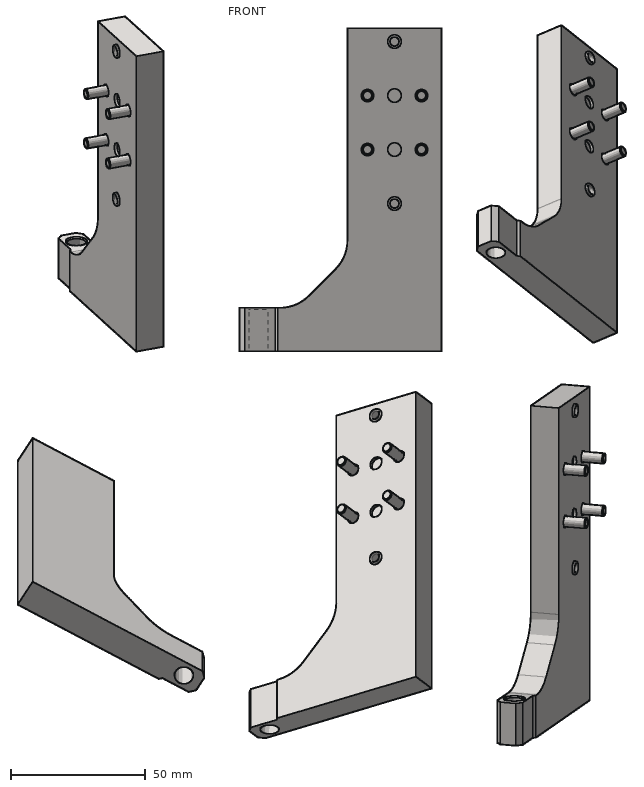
import cadquery as cq

WIDTH = 75.0
HEIGHT = 119.9
THICKNESS = 11.0
COLUMN_WIDTH = 35.0
FOOT_HEIGHT = 16.2
GUSSET_LEG = 18.7
GUSSET_RADIUS = 15.0

MARGIN = 1.2

FOOT_RELIEF = 1.0
RELIEF_LENGTH = 13.3
FOOT_CHAMFER = 2.0
FOOT_HOLE_DIAMETER = 7.0
FOOT_HOLE_MOUTH = 8.0
COUNTERSINK_ANGLE = 90
FOOT_HOLE_X = 7.1

PITCH = 20.0
PATTERN_X = WIDTH - COLUMN_WIDTH / 2
PATTERN_TOP_Z = 114.9
LOCATING_DIAMETER = 5.0
LOCATING_DEPTH = 1.2

PIN_DIAMETER = 4.0
PIN_PROJECTION = 8.4
PIN_DEPTH = 6.0
PIN_CHAMFER = 0.4
PIN_RECESS_DIAMETER = 4.5
PIN_RECESS_DEPTH = 1.0

BUSHING_DIAMETER = LOCATING_DIAMETER
BUSHING_BORE = 3.4
BUSHING_PROJECTION = 0.8
BUSHING_DEPTH = 6.0

ROW_COUNT = 4
ROW_Z = [PATTERN_TOP_Z - row * PITCH for row in range(ROW_COUNT)]
BUSHING_PLACES = [(PATTERN_X, ROW_Z[0]), (PATTERN_X, ROW_Z[3])]
LOCATING_PLACES = [(PATTERN_X, ROW_Z[1]), (PATTERN_X, ROW_Z[2])]
PIN_PLACES = [
    (PATTERN_X + side * PITCH / 2, z)
    for z in ROW_Z[1:3]
    for side in (-1, 1)
]


def rod(place, diameter, start_y, end_y):
    """Cylinder along Y between two Y positions, centred on an (X, Z) place."""
    x, z = place
    return (
        cq.Workplane("XZ", origin=(x, start_y, z))
        .circle(diameter / 2)
        .extrude(start_y - end_y)
    )


def plate_blank():
    """L-shaped plate whose inner corner is filled by a blended gusset."""
    column_x = WIDTH - COLUMN_WIDTH
    gusset_start_x = column_x - GUSSET_LEG
    blank = (
        cq.Workplane("XZ")
        .moveTo(0, 0)
        .lineTo(WIDTH, 0)
        .lineTo(WIDTH, HEIGHT)
        .lineTo(column_x, HEIGHT)
        .lineTo(column_x, FOOT_HEIGHT + GUSSET_LEG)
        .lineTo(gusset_start_x, FOOT_HEIGHT)
        .lineTo(0, FOOT_HEIGHT)
        .close()
        .extrude(-THICKNESS)
    )
    gusset_end_finder = cq.selectors.BoxSelector(
        (gusset_start_x - MARGIN, -MARGIN, FOOT_HEIGHT - MARGIN),
        (column_x + MARGIN, THICKNESS + MARGIN, FOOT_HEIGHT + GUSSET_LEG + MARGIN),
    )
    return blank.edges("|Y").edges(gusset_end_finder).fillet(GUSSET_RADIUS)


def shape_foot(plate):
    """Relieve the foot's mounting face, chamfer its end and bore it vertically."""
    relief = (
        cq.Workplane("XY")
        .moveTo(0, 0)
        .lineTo(RELIEF_LENGTH + FOOT_RELIEF, 0)
        .lineTo(RELIEF_LENGTH, FOOT_RELIEF)
        .lineTo(0, FOOT_RELIEF)
        .close()
        .extrude(FOOT_HEIGHT)
    )
    foot_hole_y = (THICKNESS + FOOT_RELIEF) / 2
    return (
        plate.cut(relief)
        .edges("|Z and <X")
        .chamfer(FOOT_CHAMFER)
        .copyWorkplane(cq.Workplane("XY", origin=(FOOT_HOLE_X, foot_hole_y, FOOT_HEIGHT)))
        .cskHole(FOOT_HOLE_DIAMETER, FOOT_HOLE_MOUTH, COUNTERSINK_ANGLE)
    )


def make_plate():
    plate = shape_foot(plate_blank())
    for place in LOCATING_PLACES:
        plate = plate.cut(rod(place, LOCATING_DIAMETER, 0, LOCATING_DEPTH))
    for place in BUSHING_PLACES:
        plate = plate.cut(rod(place, BUSHING_DIAMETER, 0, BUSHING_DEPTH))
    for place in PIN_PLACES:
        plate = plate.cut(rod(place, PIN_DIAMETER, 0, PIN_DEPTH))
        plate = plate.cut(rod(place, PIN_RECESS_DIAMETER, 0, PIN_RECESS_DEPTH))
    return plate


def make_pin(place):
    """Solid pin standing out of the mounting face, chamfered at its free end."""
    pin = rod(place, PIN_DIAMETER, -PIN_PROJECTION, PIN_DEPTH)
    return pin.faces("<Y").chamfer(PIN_CHAMFER)


def make_bushing(place):
    """Sleeve whose free end is rounded over the full wall thickness."""
    x, z = place
    inner_radius = BUSHING_BORE / 2
    outer_radius = BUSHING_DIAMETER / 2
    rounding = (outer_radius - inner_radius) / 2
    rounding_y = rounding - BUSHING_PROJECTION
    return (
        cq.Workplane("XY", origin=(x, 0, z))
        .moveTo(inner_radius, BUSHING_DEPTH)
        .lineTo(outer_radius, BUSHING_DEPTH)
        .lineTo(outer_radius, rounding_y)
        .threePointArc(
            (inner_radius + rounding, -BUSHING_PROJECTION),
            (inner_radius, rounding_y),
        )
        .close()
        .revolve(360, (0, 0, 0), (0, 1, 0))
    )


plate = make_plate()
pins = [make_pin(place) for place in PIN_PLACES]
bushings = [make_bushing(place) for place in BUSHING_PLACES]

result = cq.Compound.makeCompound([
    plate.val(),
    *[pin.val() for pin in pins],
    *[bushing.val() for bushing in bushings],
])